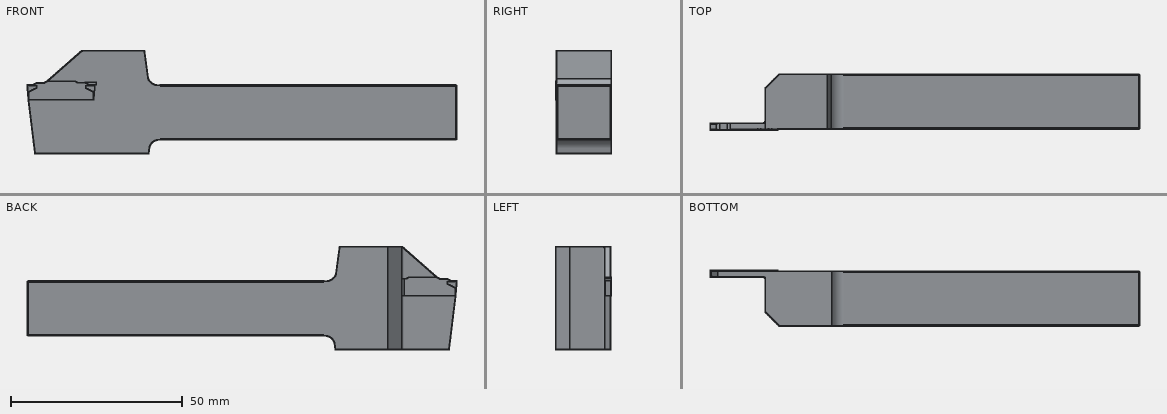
import cadquery as cq
import math

overall_length = 125.0
head_height = 30.0
shank_size = 16.0
shank_bottom = 4.0
shank_top = shank_bottom + shank_size
shank_chamfer = 0.4

blade_thickness = 1.8
blade_fillet = 0.6
block_start = 16.0
block_corner_chamfer = 4.1
nose_x = 5.9
head_top_end = 34.1
head_back_x = 35.4
upper_fillet_start_x = 35.2
upper_fillet_start_z = 21.8
lower_fillet_start_x = 35.6
lower_fillet_start_z = 1.9
shank_start = 38.9
relief_slope = math.tan(math.radians(7))

insert_length = 19.8
insert_bottom = 15.6
insert_ridge_z = 21.1
insert_shoulder_z = 20.6
insert_tip_z = shank_top
insert_protrusion = 0.2
end_relief = 0.4
tip_flat = 1.8
shoulder_x = 2.8
shoulder_end = 5.0

relief_depth = 0.2
relief_lip = 0.19
relief_corner_z = 19.1
relief_low_x = 0.5
relief_low_z = 18.0

clearance_start = 16.9
clearance_end = 20.1
clearance_top = 20.8


def prism(profile, y_front, y_back):
    """Extrude a closed X-Z profile between two Y positions."""
    return profile.extrude(y_front - y_back).translate((0, y_front, 0))


def xz_polygon(points):
    return cq.Workplane("XZ").polyline(points).close()


def mirrored_x(points):
    """Reflect points to the other end of the insert."""
    return [(insert_length - x, z) for x, z in points]


def insert_profile():
    front_half = [
        (end_relief, insert_bottom),
        (0, insert_tip_z),
        (tip_flat, insert_tip_z),
        (shoulder_x, insert_shoulder_z),
        (shoulder_end, insert_shoulder_z),
        (nose_x, insert_ridge_z),
    ]
    return xz_polygon(front_half + mirrored_x(front_half)[::-1])


def make_insert():
    front_y = -insert_protrusion
    body = prism(insert_profile(), front_y, blade_thickness)
    relief = [
        (0, insert_tip_z - relief_lip),
        (shoulder_x, insert_tip_z - relief_lip),
        (shoulder_x, relief_corner_z),
        (relief_low_x, relief_low_z),
        (relief_low_x, insert_bottom),
        (0, insert_bottom),
    ]
    for outline in (relief, mirrored_x(relief)):
        body = body.cut(prism(xz_polygon(outline), front_y, front_y + relief_depth))
        body = body.cut(prism(xz_polygon(outline), blade_thickness - relief_depth, blade_thickness))
    return body


def corner_arc_middle(start, end, corner):
    """Middle point of a near-quarter-circle arc that bulges toward a corner."""
    mid_x = (start[0] + end[0]) / 2
    mid_z = (start[1] + end[1]) / 2
    chord = math.dist(start, end)
    reach = math.dist((mid_x, mid_z), corner)
    sagitta = chord * (math.sqrt(2) - 1) / 2
    return (
        mid_x + (corner[0] - mid_x) * sagitta / reach,
        mid_z + (corner[1] - mid_z) * sagitta / reach,
    )


def head_profile():
    upper_start = (upper_fillet_start_x, upper_fillet_start_z)
    upper_end = (shank_start, shank_top)
    lower_start = (shank_start, shank_bottom)
    lower_end = (lower_fillet_start_x, lower_fillet_start_z)
    upper_mid = corner_arc_middle(upper_start, upper_end, (upper_fillet_start_x, shank_top))
    lower_mid = corner_arc_middle(lower_start, lower_end, (lower_fillet_start_x, shank_bottom))
    front_bottom_x = end_relief + insert_bottom * relief_slope
    return (
        cq.Workplane("XZ")
        .moveTo(front_bottom_x, 0)
        .lineTo(end_relief, insert_bottom)
        .lineTo(nose_x, insert_ridge_z)
        .lineTo(block_start, head_height)
        .lineTo(head_top_end, head_height)
        .lineTo(*upper_start)
        .threePointArc(upper_mid, upper_end)
        .lineTo(*lower_start)
        .threePointArc(lower_mid, lower_end)
        .lineTo(head_back_x, 0)
        .close()
    )


def head_plan():
    """Footprint of the head: a thin blade widening into the full block."""
    return (
        cq.Workplane("XY")
        .moveTo(0, 0)
        .lineTo(0, blade_thickness)
        .lineTo(block_start - blade_fillet, blade_thickness)
        .radiusArc((block_start, blade_thickness + blade_fillet), -blade_fillet)
        .lineTo(block_start, shank_size - block_corner_chamfer)
        .lineTo(block_start + block_corner_chamfer, shank_size)
        .lineTo(shank_start, shank_size)
        .lineTo(shank_start, 0)
        .close()
        .extrude(head_height)
    )


def make_shank():
    return (
        cq.Workplane("XY")
        .box(overall_length - shank_start, shank_size, shank_size, centered=False)
        .edges("|X or >X")
        .chamfer(shank_chamfer)
        .translate((shank_start, 0, shank_bottom))
    )


def insert_pocket():
    clearance = xz_polygon([
        (clearance_start, insert_bottom),
        (insert_length - end_relief, insert_bottom),
        (insert_length, insert_tip_z),
        (clearance_end, insert_tip_z),
        (clearance_end, clearance_top),
        (clearance_start, clearance_top),
    ])
    seat = prism(insert_profile(), 0, blade_thickness)
    return seat.union(prism(clearance, 0, blade_thickness))


def make_holder():
    head = prism(head_profile(), 0, shank_size).intersect(head_plan())
    return head.union(make_shank()).cut(insert_pocket())


holder = make_holder()
insert = make_insert()

result = cq.Compound.makeCompound([holder.solids().val(), insert.solids().val()])